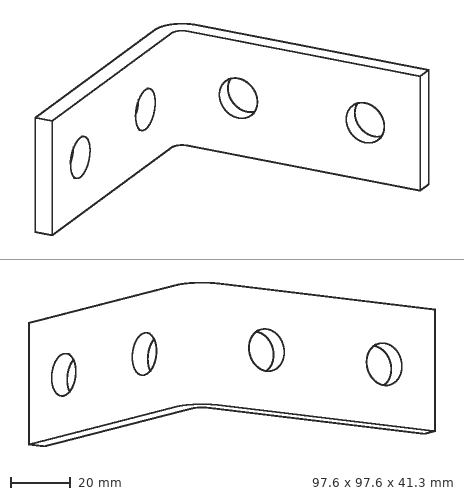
import cadquery as cq

leg_length = 97.6
width = 41.3
thickness = 6.3
outer_bend_radius = 10.3
hole_diameter = 14.3
end_to_hole = 20.6
hole_spacing = 47.6

inner_bend_radius = outer_bend_radius - thickness
far_hole = leg_length - end_to_hole
hole_positions = (far_hole - hole_spacing, far_hole)


def bent_strip():
    """L-shaped strip with its outer corner at the origin, legs along +X and -Y."""
    strip = (
        cq.Workplane("XY")
        .polyline([
            (0, 0),
            (leg_length, 0),
            (leg_length, -thickness),
            (thickness, -thickness),
            (thickness, -leg_length),
            (0, -leg_length),
        ])
        .close()
        .extrude(width)
    )
    strip = strip.edges(cq.NearestToPointSelector((0, 0, width / 2))).fillet(outer_bend_radius)
    inner_corner = cq.NearestToPointSelector((thickness, -thickness, width / 2))
    return strip.edges(inner_corner).fillet(inner_bend_radius)


def leg_holes(plane, direction):
    """Hole cutters through one leg, spaced along the leg at mid width."""
    centers = [(direction * position, width / 2) for position in hole_positions]
    return (
        cq.Workplane(plane)
        .pushPoints(centers)
        .circle(hole_diameter / 2)
        .extrude(thickness)
    )


result = bent_strip().cut(leg_holes("XZ", 1)).cut(leg_holes("YZ", -1))